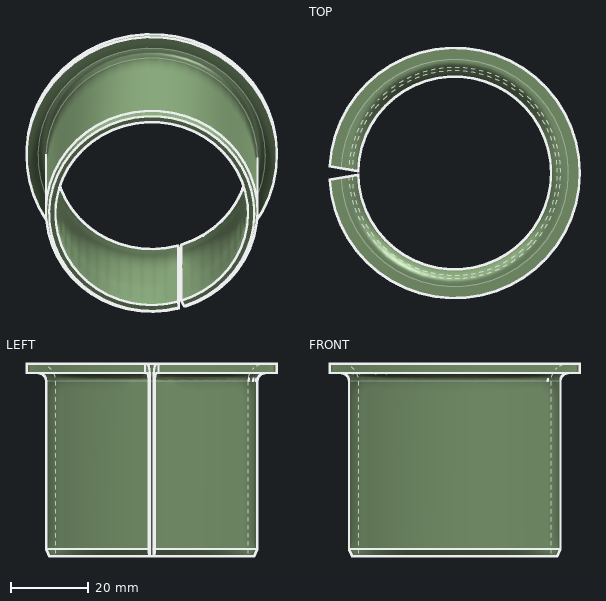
import cadquery as cq

flange_diameter = 65.0
height = 50.0
bore_diameter = 50.0
wall = 2.5
bend_inner_radius = 2.0
chamfer_height = 1.9
chamfer_depth = 0.85

gap_at_bore = 0.85
gap_at_rim = 3.45

flange_radius = flange_diameter / 2
bore_radius = bore_diameter / 2
outer_radius = bore_radius + wall
bend_outer_radius = bend_inner_radius + wall
bend_center_r = bore_radius + bend_outer_radius
bend_center_z = height - bend_outer_radius
cos45 = 0.5 ** 0.5


def bend_middle(radius):
    """Midpoint of a quarter-circle bend arc, as (r, z)."""
    return (bend_center_r - radius * cos45, bend_center_z + radius * cos45)


def make_bush():
    """Revolve the constant-thickness wall, bend and flange about Z."""
    profile = (
        cq.Workplane("XZ")
        .moveTo(bore_radius, 0)
        .lineTo(outer_radius - chamfer_depth, 0)
        .lineTo(outer_radius, chamfer_height)
        .lineTo(outer_radius, bend_center_z)
        .threePointArc(bend_middle(bend_inner_radius), (bend_center_r, height - wall))
        .lineTo(flange_radius, height - wall)
        .lineTo(flange_radius, height)
        .lineTo(bend_center_r, height)
        .threePointArc(bend_middle(bend_outer_radius), (bore_radius, bend_center_z))
        .close()
    )
    bush = profile.revolve(360, (0, 0, 0), (0, 1, 0))
    return bush.rotate((0, 0, 0), (0, 0, 1), 180)


def make_split():
    """Wedge-shaped cutter on the -X side, running the full height."""
    slope = (gap_at_rim - gap_at_bore) / (flange_radius - bore_radius) / 2
    apex_x = -(bore_radius - gap_at_bore / 2 / slope)
    far_x = -2 * flange_radius
    half_width = slope * (apex_x - far_x)
    return (
        cq.Workplane("XY")
        .polyline([(apex_x, 0), (far_x, half_width), (far_x, -half_width)])
        .close()
        .extrude(height)
    )


result = make_bush().cut(make_split())